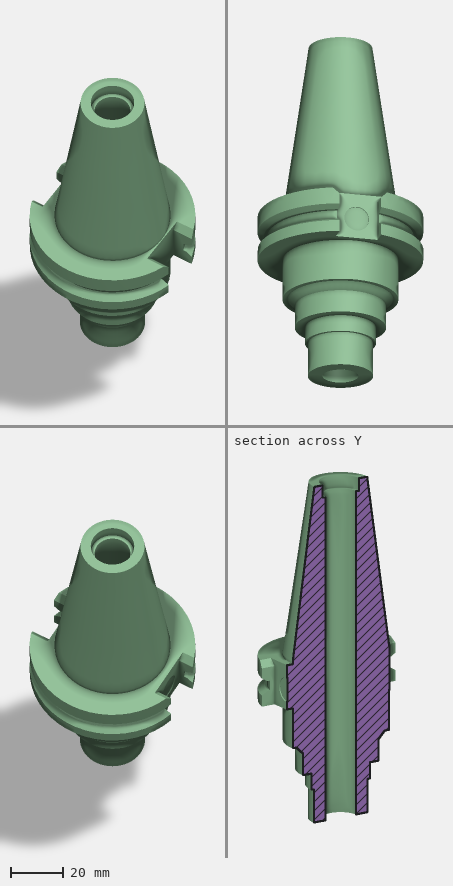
import cadquery as cq

total_height = 134.6
taper_length = 68.4
gauge_height = total_height - taper_length

taper_small_radius = 12.3
body_radius = 22.2
body_bottom = 31.4
collar_radius = 17.5
cone_top_radius = 20.3
collar_top = body_bottom - (cone_top_radius - collar_radius)
collar_bottom = 19.8
neck_radius = 13.6
neck_bottom = 13.3
nose_radius = 12.5

flange_radius = 31.8
flange_bottom = 47.4
flange_top = 65.3
groove_radius = 28.1
groove_bevel_radius = 29.4
groove_bevel_height = 1.5
lower_rim_top = 51.8
upper_rim_bottom = 58.7
groove_bottom = lower_rim_top + groove_bevel_height
groove_top = upper_rim_bottom - groove_bevel_height

slot_width = 16.4
slot_chamfer = 2.5
left_slot_floor = 24.9
right_slot_floor = 22.5

recess_radius = 4.8
recess_height = 55.3
recess_depth = 0.4

through_radius = 6.9
counterbore_radius = 8.3
counterbore_depth = 5.0


def turned_body():
    """Revolve the outer half profile about Z."""
    profile = [
        (0, 0),
        (nose_radius, 0),
        (nose_radius, neck_bottom),
        (neck_radius, neck_bottom),
        (neck_radius, collar_bottom),
        (collar_radius, collar_bottom),
        (collar_radius, collar_top),
        (cone_top_radius, body_bottom),
        (body_radius, body_bottom),
        (body_radius, flange_bottom),
        (flange_radius, flange_bottom),
        (flange_radius, lower_rim_top),
        (groove_bevel_radius, groove_bottom),
        (groove_radius, groove_bottom),
        (groove_radius, groove_top),
        (groove_bevel_radius, groove_top),
        (flange_radius, upper_rim_bottom),
        (flange_radius, flange_top),
        (body_radius, flange_top),
        (body_radius, gauge_height),
        (taper_small_radius, total_height),
        (0, total_height),
    ]
    return cq.Workplane("XZ").polyline(profile).close().revolve(360, (0, 0), (0, 1))


def drive_slot(side, floor):
    """Slot cutter outside X = side * floor, its mouth chamfered at the flange top."""
    half = slot_width / 2
    mouth = half + slot_chamfer
    outline = [
        (-half, flange_bottom),
        (half, flange_bottom),
        (half, flange_top - slot_chamfer),
        (mouth, flange_top),
        (-mouth, flange_top),
        (-half, flange_top - slot_chamfer),
    ]
    plane = cq.Workplane("YZ", origin=(side * floor, 0, 0))
    return plane.polyline(outline).close().extrude(side * flange_radius)


def slot_recess():
    """Blind round recess sunk into the floor of the -X slot."""
    plane = cq.Workplane("YZ", origin=(-left_slot_floor, 0, recess_height))
    return plane.circle(recess_radius).extrude(recess_depth)


def stepped_bore():
    """Through hole with a wider counterbore at the small end of the taper."""
    through = cq.Workplane("XY").circle(through_radius).extrude(total_height)
    mouth_plane = cq.Workplane("XY", origin=(0, 0, total_height))
    counterbore = mouth_plane.circle(counterbore_radius).extrude(-counterbore_depth)
    return through.union(counterbore)


result = (
    turned_body()
    .cut(drive_slot(-1, left_slot_floor))
    .cut(drive_slot(1, right_slot_floor))
    .cut(slot_recess())
    .cut(stepped_bore())
)